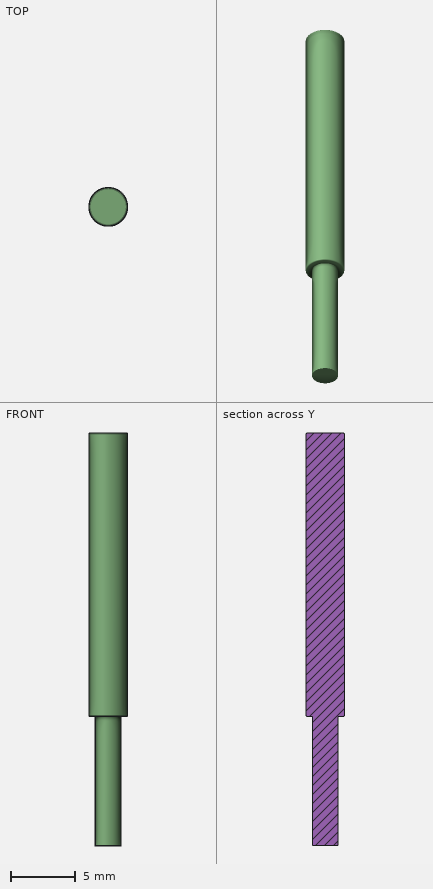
import cadquery as cq

total_length = 32.0
pin_length = 10.0
body_diameter = 3.0
pin_diameter = 2.0
rim_radius = 0.1

body_length = total_length - pin_length

body = (
    cq.Workplane("XY")
    .workplane(offset=pin_length)
    .circle(body_diameter / 2)
    .extrude(body_length)
    .edges("%CIRCLE")
    .fillet(rim_radius)
)

pin = cq.Workplane("XY").circle(pin_diameter / 2).extrude(pin_length)

result = body.union(pin)